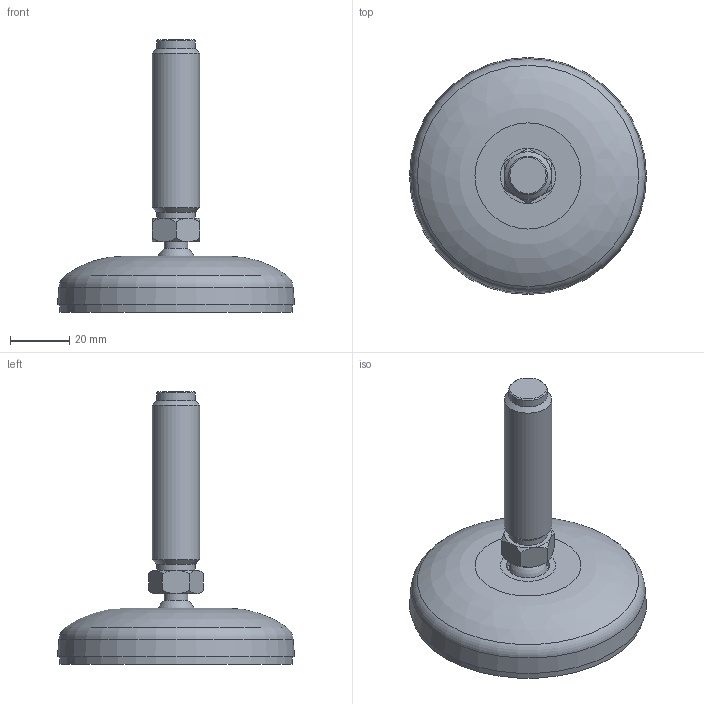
import cadquery as cq
import math

pad_radius = 78.2 / 2
pad_height = 2.5
rim_radius = 79.66 / 2
band_top_radius = 39.4
band_top_height = 8.5
shoulder_radius = 37.2
shoulder_height = 12.5
crown_radius = 17.85
plate_height = 18.85

insert_radius = 18.6 / 2
socket_radius = 14.4 / 2

ball_radius = 13 / 2
ball_center_height = 16.5
neck_radius = 8.06 / 2

hex_across_flats = 16.0
hex_bottom = 23.7
hex_height = 8.0
hex_turn = 30
hex_top = hex_bottom + hex_height

stud_radius = 16 / 2
relief_radius = 13 / 2
stud_bottom = 33.7
stud_top = 88.7
thread_chamfer = stud_radius - relief_radius
total_height = 91.7
tip_chamfer = 0.4


def dome_point(fraction):
    """Point (radius, height) on the dome arc, which leaves the flat crown tangentially."""
    run = shoulder_radius - crown_radius
    drop = plate_height - shoulder_height
    dome_radius = (run**2 + drop**2) / (2 * drop)
    angle = fraction * math.asin(run / dome_radius)
    radius = crown_radius + dome_radius * math.sin(angle)
    height = plate_height - dome_radius * (1 - math.cos(angle))
    return (radius, height)


def make_plate():
    """Solid of revolution: pad, leaning band, rounded shoulder, dome and flat crown."""
    profile = (
        cq.Workplane("XZ")
        .lineTo(pad_radius, 0)
        .lineTo(pad_radius, pad_height)
        .lineTo(rim_radius, pad_height)
        .lineTo(band_top_radius, band_top_height)
        .tangentArcPoint((shoulder_radius, shoulder_height), relative=False)
        .threePointArc(dome_point(0.5), dome_point(0))
        .lineTo(0, plate_height)
        .close()
    )
    return profile.revolve(360, (0, 0), (0, 1))


def make_socket_cylinder(radius):
    """Cylinder from the middle of the ball up to the crown."""
    return (
        cq.Workplane("XY", origin=(0, 0, ball_center_height))
        .circle(radius)
        .extrude(plate_height - ball_center_height)
    )


def make_base():
    """Plate with the socket insert fused in; the seam stays as an edge on the flat crown."""
    insert = make_socket_cylinder(insert_radius).cut(make_socket_cylinder(socket_radius))
    return make_plate().cut(make_socket_cylinder(insert_radius)).union(insert, clean=False)


def make_ball_and_neck():
    ball = cq.Workplane("XY").sphere(ball_radius).translate((0, 0, ball_center_height))
    neck = (
        cq.Workplane("XY", origin=(0, 0, ball_center_height))
        .circle(neck_radius)
        .extrude(hex_bottom - ball_center_height)
    )
    return ball.union(neck)


def make_hex_collar():
    """Hexagon with its flats facing +X and -X, its corners turned off at 45 degrees."""
    across_corners = hex_across_flats / math.cos(math.radians(hex_turn))
    corner_chamfer = (across_corners - hex_across_flats) / 2
    prism = (
        cq.Workplane("XY", origin=(0, 0, hex_bottom))
        .transformed(rotate=(0, 0, hex_turn))
        .polygon(6, across_corners)
        .extrude(hex_height)
    )
    envelope = (
        cq.Workplane("XY", origin=(0, 0, hex_bottom))
        .circle(across_corners / 2)
        .extrude(hex_height)
        .faces("<Z or >Z")
        .chamfer(corner_chamfer)
    )
    return prism.intersect(envelope)


def make_stud():
    core = (
        cq.Workplane("XY", origin=(0, 0, hex_top))
        .circle(relief_radius)
        .extrude(total_height - hex_top)
        .faces(">Z")
        .chamfer(tip_chamfer)
    )
    thread_body = (
        cq.Workplane("XY", origin=(0, 0, stud_bottom))
        .circle(stud_radius)
        .extrude(stud_top - stud_bottom)
        .faces("<Z or >Z")
        .chamfer(thread_chamfer)
    )
    return core.union(thread_body)


result = (
    make_base()
    .union(make_ball_and_neck(), clean=False)
    .union(make_hex_collar(), clean=False)
    .union(make_stud(), clean=False)
)